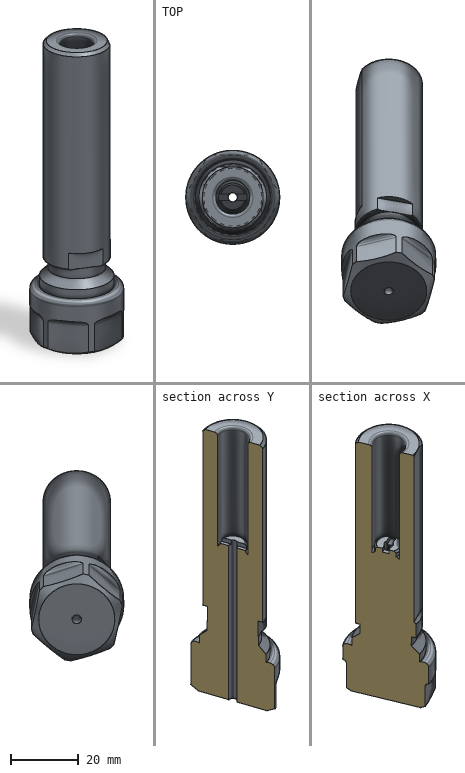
import cadquery as cq
import math

LENGTH = 96.1

NUT_RADIUS = 13.9
NUT_HEIGHT = 17.9
NUT_EDGE_ROUND = 1.5
NUT_MOUTH_ROUND = 0.6
NUT_CHAMFER_HEIGHT = 1.5
NUT_CHAMFER_ANGLE = 30.0
WRENCH_SIZE = 25.0
WRENCH_FLATS = 6
FLAT_END_ROUND = NUT_RADIUS - WRENCH_SIZE / 2
LOW_FLAT_TOP = 9.9
HIGH_FLAT_TOP = 11.4
HIGH_FLAT_ANGLES = (270, 330, 30)

COLLAR_RADIUS = 11.05
COLLAR_TOP = 20.6
NECK_RADIUS = 8.6
NECK_TOP = 26.3
CONE_TOP = COLLAR_TOP + COLLAR_RADIUS - NECK_RADIUS

SHANK_RADIUS = 10.0
SHANK_LOWER_CHAMFER = 0.3
SHANK_UPPER_CHAMFER = 1.0
SPANNER_SIZE = 16.9
SPANNER_FLAT_TOP = 31.7
CLAMP_FLAT_OFFSET = 9.0
CLAMP_FLAT_START = 31.4

BORE_RADIUS = 5.0
BORE_MOUTH_ROUND = 1.0
SCREW_TOP = 57.7
SCREW_TIP_RADIUS = 3.65
SCREW_HEAD_RADIUS = 4.2
SCREW_HEAD_HEIGHT = 1.9
SLOT_WIDTH = 2.0
SLOT_DEPTH = 1.4
THROUGH_HOLE_RADIUS = 1.3


def make_nut():
    """Round nut body, chamfered below and rounded above, before the flats are cut."""
    chamfer_width = NUT_CHAMFER_HEIGHT / math.tan(math.radians(NUT_CHAMFER_ANGLE))
    side_top = NUT_HEIGHT - NUT_EDGE_ROUND
    mouth_bottom = NUT_HEIGHT - NUT_MOUTH_ROUND
    profile = (
        cq.Workplane("XZ")
        .lineTo(NUT_RADIUS - chamfer_width, 0)
        .lineTo(NUT_RADIUS, NUT_CHAMFER_HEIGHT)
        .lineTo(NUT_RADIUS, side_top)
        .tangentArcPoint((NUT_RADIUS - NUT_EDGE_ROUND, NUT_HEIGHT), relative=False)
        .lineTo(COLLAR_RADIUS + NUT_MOUTH_ROUND, NUT_HEIGHT)
        .tangentArcPoint((COLLAR_RADIUS, mouth_bottom), relative=False)
        .lineTo(0, mouth_bottom)
        .close()
    )
    return profile.revolve(360, (0, 0, 0), (0, 1, 0))


def flat_cutter(angle, top):
    """Material removed by one wrench flat, whose upper end runs out in a quarter round."""
    inner = WRENCH_SIZE / 2
    outer = NUT_RADIUS + FLAT_END_ROUND
    cutter = (
        cq.Workplane("XZ")
        .moveTo(inner, 0)
        .lineTo(inner, top - FLAT_END_ROUND)
        .tangentArcPoint((inner + FLAT_END_ROUND, top), relative=False)
        .lineTo(outer, top)
        .lineTo(outer, 0)
        .close()
        .extrude(NUT_RADIUS, both=True)
    )
    return cutter.rotate((0, 0, 0), (0, 0, 1), angle)


def cut_wrench_flats(nut):
    """Six flats; the three on one half of the nut reach higher than the others."""
    pitch = 360 // WRENCH_FLATS
    for angle in range(pitch // 2, 360, pitch):
        top = HIGH_FLAT_TOP if angle in HIGH_FLAT_ANGLES else LOW_FLAT_TOP
        nut = nut.cut(flat_cutter(angle, top))
    return nut


def make_shank():
    """Collar, cone, neck and shank turned as one solid body, starting halfway up inside the nut."""
    profile = (
        cq.Workplane("XZ")
        .moveTo(0, NUT_HEIGHT / 2)
        .lineTo(COLLAR_RADIUS, NUT_HEIGHT / 2)
        .lineTo(COLLAR_RADIUS, COLLAR_TOP)
        .lineTo(NECK_RADIUS, CONE_TOP)
        .lineTo(NECK_RADIUS, NECK_TOP)
        .lineTo(SHANK_RADIUS - SHANK_LOWER_CHAMFER, NECK_TOP)
        .lineTo(SHANK_RADIUS, NECK_TOP + SHANK_LOWER_CHAMFER)
        .lineTo(SHANK_RADIUS, LENGTH - SHANK_UPPER_CHAMFER)
        .lineTo(SHANK_RADIUS - SHANK_UPPER_CHAMFER, LENGTH)
        .lineTo(0, LENGTH)
        .close()
    )
    return profile.revolve(360, (0, 0, 0), (0, 1, 0))


def cut_spanner_flats(shank):
    """Two parallel flats facing +X and -X at the lower end of the shank."""
    height = SPANNER_FLAT_TOP - NECK_TOP
    for side in (-1, 1):
        block = (
            cq.Workplane("XY", origin=(side * SPANNER_SIZE, 0, NECK_TOP))
            .rect(SPANNER_SIZE, 2 * SHANK_RADIUS)
            .extrude(height)
        )
        shank = shank.cut(block)
    return shank


def cut_clamp_flat(shank):
    """Long flat facing +Y, ending below in a 45 degree run-out."""
    ramp = SHANK_RADIUS - CLAMP_FLAT_OFFSET
    cutter = (
        cq.Workplane("YZ")
        .moveTo(CLAMP_FLAT_OFFSET, LENGTH)
        .lineTo(CLAMP_FLAT_OFFSET, CLAMP_FLAT_START + ramp)
        .lineTo(SHANK_RADIUS, CLAMP_FLAT_START)
        .lineTo(SHANK_RADIUS + ramp, CLAMP_FLAT_START)
        .lineTo(SHANK_RADIUS + ramp, LENGTH)
        .close()
        .extrude(SHANK_RADIUS, both=True)
    )
    return shank.cut(cutter)


def make_bore():
    """Bore volume down to the stop screw, whose stepped head forms the bottom."""
    tip_bottom = SCREW_TOP - (SCREW_HEAD_RADIUS - SCREW_TIP_RADIUS)
    head_bottom = SCREW_TOP - SCREW_HEAD_HEIGHT
    profile = (
        cq.Workplane("XZ")
        .moveTo(0, LENGTH)
        .lineTo(0, SCREW_TOP)
        .lineTo(SCREW_TIP_RADIUS, SCREW_TOP)
        .lineTo(SCREW_HEAD_RADIUS, tip_bottom)
        .lineTo(SCREW_HEAD_RADIUS, head_bottom)
        .lineTo(BORE_RADIUS, head_bottom - (BORE_RADIUS - SCREW_HEAD_RADIUS))
        .lineTo(BORE_RADIUS, LENGTH - BORE_MOUTH_ROUND)
        .tangentArcPoint((BORE_RADIUS + BORE_MOUTH_ROUND, LENGTH), relative=False)
        .close()
    )
    return profile.revolve(360, (0, 0, 0), (0, 1, 0))


def make_screw_slot():
    """Screwdriver slot along X across the head of the stop screw."""
    return (
        cq.Workplane("XY", origin=(0, 0, SCREW_TOP - SLOT_DEPTH))
        .rect(2 * SCREW_HEAD_RADIUS, SLOT_WIDTH)
        .extrude(SLOT_DEPTH)
    )


nut = cut_wrench_flats(make_nut())
shank = cut_clamp_flat(cut_spanner_flats(make_shank()))
chuck = nut.union(shank)
through_hole = cq.Workplane("XY").circle(THROUGH_HOLE_RADIUS).extrude(LENGTH)
result = chuck.cut(make_bore()).cut(make_screw_slot()).cut(through_hole)